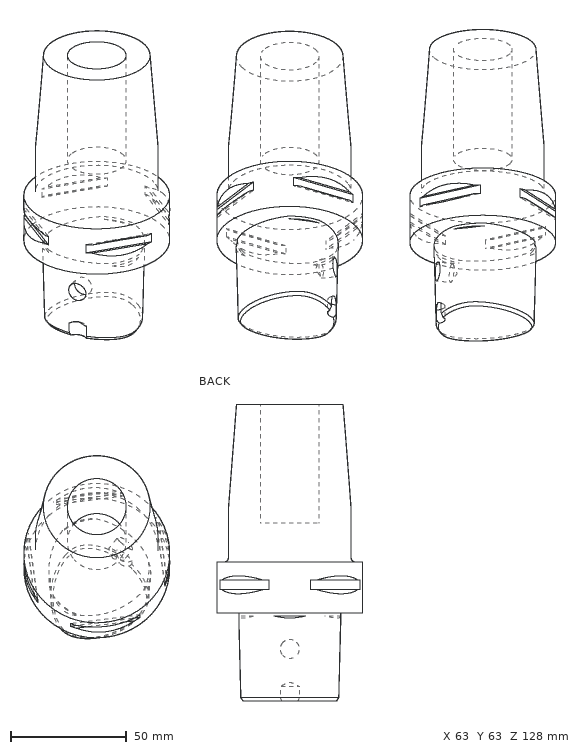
import cadquery as cq
import math

total_height = 128.0
shank_chamfer_height = 1.5
taper_top = 34.8
flange_bottom = 38.0
flange_top = 60.0
cone_bottom = 83.3

flange_radius = 31.5
body_radius = 26.5
nose_radius = 23.0
body_fillet = 1.9
bore_radius = 12.7
bore_depth = 51.2

shank_radius = 22.0
lobe_height = 1.4
taper_per_side = 1 / 40
shank_chamfer_width = 1.0
points_per_turn = 48
neck_radius = 22.5
relief_height = 1.3
shoulder_width = 1.0

groove_flat_distance = 27.6
groove_bevel_distance = 28.8
groove_floor_height = 4.0
groove_mouth_height = 7.8
groove_center_z = 50.2
groove_angles = (45, 135, 225, 315)

drill_tip_half_angle = 59
side_hole_radius = 4.1
side_hole_z = 22.5
side_hole_depth = 6.4
notch_height = 6.3
notch_radius = 4.5
notch_axis_offset = 1.5


def lobed_wire(z, mean_radius):
    """Closed constant-width curve with one of its three lobes toward +Y."""
    points = []
    for i in range(points_per_turn):
        angle = 2 * math.pi * i / points_per_turn
        phase = 3 * (angle - math.pi / 2)
        support = mean_radius + lobe_height * math.cos(phase)
        slope = -3 * lobe_height * math.sin(phase)
        x = support * math.cos(angle) - slope * math.sin(angle)
        y = support * math.sin(angle) + slope * math.cos(angle)
        points.append(cq.Vector(x, y, z))
    edge = cq.Edge.makeSpline(points, periodic=True)
    return cq.Wire.assembleEdges([edge])


def lobed_section(z0, radius0, z1, radius1):
    wires = [lobed_wire(z0, radius0), lobed_wire(z1, radius1)]
    return cq.Workplane(obj=cq.Solid.makeLoft(wires, True))


def make_body():
    flange_fillet_radius = body_radius + body_fillet
    fillet_drop = body_fillet * (1 - math.sqrt(0.5))
    profile = (
        cq.Workplane("XZ")
        .moveTo(0, flange_bottom)
        .lineTo(flange_radius, flange_bottom)
        .lineTo(flange_radius, flange_top)
        .lineTo(flange_fillet_radius, flange_top)
        .threePointArc(
            (body_radius + fillet_drop, flange_top + fillet_drop),
            (body_radius, flange_top + body_fillet),
        )
        .lineTo(body_radius, cone_bottom)
        .lineTo(nose_radius, total_height)
        .lineTo(0, total_height)
        .close()
    )
    body = profile.revolve(360, (0, 0, 0), (0, 1, 0))
    bore = (
        cq.Workplane("XY")
        .workplane(offset=total_height - bore_depth)
        .circle(bore_radius)
        .extrude(bore_depth)
    )
    return body.cut(bore)


def make_shank():
    taper_bottom_radius = shank_radius - taper_per_side * (taper_top - shank_chamfer_height)
    tip_radius = taper_bottom_radius - shank_chamfer_width
    tip = lobed_section(0, tip_radius, shank_chamfer_height, taper_bottom_radius)
    taper = lobed_section(shank_chamfer_height, taper_bottom_radius, taper_top, shank_radius)
    collar = lobed_section(taper_top, shank_radius, flange_bottom, shank_radius)
    return tip.union(taper).union(collar)


def make_lobe_relief():
    """Ring that trims the lobes with a sloped shoulder just under the flange."""
    relief_bottom = flange_bottom - relief_height
    outer_radius = neck_radius + shoulder_width
    profile = (
        cq.Workplane("XZ")
        .moveTo(neck_radius, flange_bottom)
        .lineTo(neck_radius, relief_bottom)
        .lineTo(outer_radius, relief_bottom - shoulder_width)
        .lineTo(outer_radius, flange_bottom)
        .close()
    )
    return profile.revolve(360, (0, 0, 0), (0, 1, 0))


def make_groove(angle):
    """Straight groove with beveled mouth edges, cut square to the given direction."""
    half_floor = groove_floor_height / 2
    half_mouth = groove_mouth_height / 2
    groove = (
        cq.Workplane("XZ")
        .moveTo(groove_flat_distance, groove_center_z - half_floor)
        .lineTo(groove_bevel_distance, groove_center_z - half_floor)
        .lineTo(flange_radius, groove_center_z - half_mouth)
        .lineTo(flange_radius, groove_center_z + half_mouth)
        .lineTo(groove_bevel_distance, groove_center_z + half_floor)
        .lineTo(groove_flat_distance, groove_center_z + half_floor)
        .close()
        .extrude(flange_radius, both=True)
    )
    return groove.rotate((0, 0, 0), (0, 0, 1), angle)


def make_drill(drill_radius, length):
    """Drill standing on the origin along +Z, ending in a conical point."""
    tip_height = drill_radius / math.tan(math.radians(drill_tip_half_angle))
    profile = (
        cq.Workplane("XZ")
        .lineTo(drill_radius, 0)
        .lineTo(drill_radius, length)
        .lineTo(0, length + tip_height)
        .close()
    )
    return profile.revolve(360, (0, 0, 0), (0, 1, 0))


def flat_distance(z):
    """Distance from the axis to the -Y flat of the shank at height z."""
    return shank_radius - lobe_height - taper_per_side * (taper_top - z)


def make_side_hole():
    length = flange_radius - flat_distance(side_hole_z) + side_hole_depth
    drill = make_drill(side_hole_radius, length)
    drill = drill.rotate((0, 0, 0), (1, 0, 0), -90)
    return drill.translate((0, -flange_radius, side_hole_z))


def make_notch():
    axis_distance = flat_distance(notch_height) + notch_axis_offset
    return make_drill(notch_radius, notch_height).translate((0, -axis_distance, 0))


shank = make_shank().cut(make_lobe_relief())
result = make_body().union(shank)
for groove_angle in groove_angles:
    result = result.cut(make_groove(groove_angle))
result = result.cut(make_side_hole()).cut(make_notch())